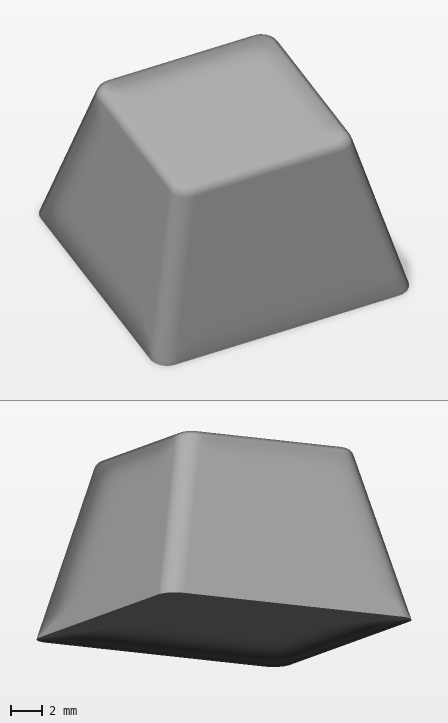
import cadquery as cq

base_side = 18.3
height = 11.4
wall_lean = 14.0
corner_radius = 1.25
rim_radius = 0.64


def tapered_body():
    """Square block whose four walls lean inward by the same angle."""
    return cq.Workplane("XY").rect(base_side, base_side).extrude(height, taper=wall_lean)


def round_corners(body):
    """Round the sloped corner edges, the only ones in neither flat face."""
    return body.edges("not(<Z or >Z)").fillet(corner_radius)


def round_rim(body):
    """Round the whole outline of the top face."""
    return body.faces(">Z").edges().fillet(rim_radius)


result = round_rim(round_corners(tapered_body()))